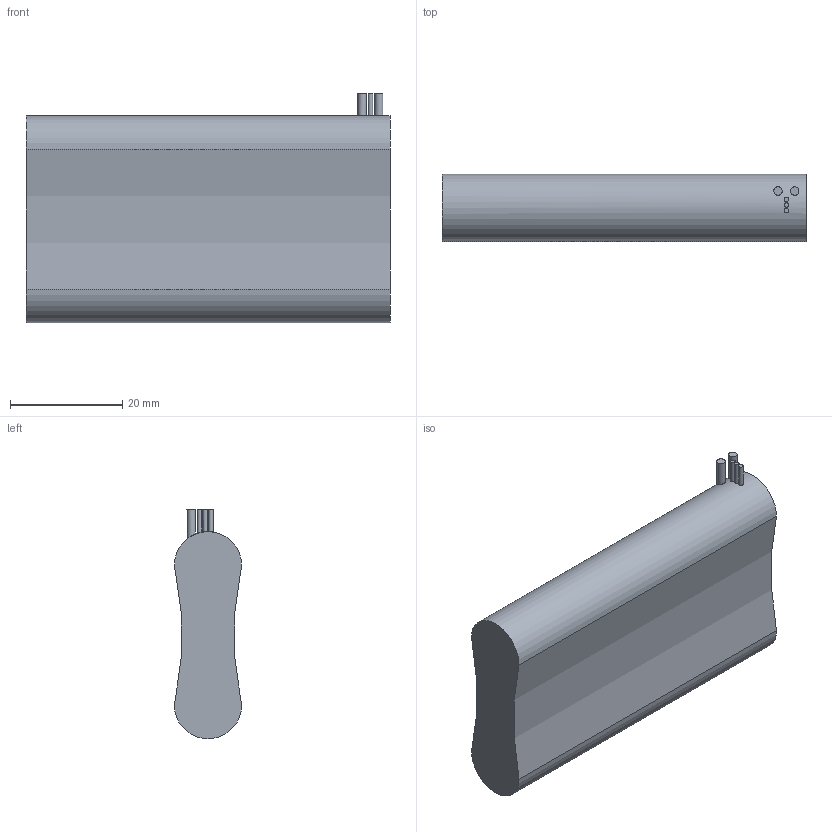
import cadquery as cq

body_length = 65.0
body_height = 37.0
edge_radius = 6.0
waist_depth = 1.35

wire_height = 4.0
wire_top = body_height + wire_height
wire_root = body_height - edge_radius
power_wire_diameter = 1.5
power_wire_spacing = 3.0
power_wire_y = 3.0
balance_wire_diameter = 0.8
balance_wire_pitch = 1.0
balance_wire_count = 3
first_balance_wire_y = 1.5
wire_group_inset = 3.5
wire_group_x = body_length / 2 - wire_group_inset


def make_body():
    """Extrude the waisted section along X, centred on the origin."""
    lower_z = edge_radius
    upper_z = body_height - edge_radius
    middle_z = body_height / 2
    waist_y = edge_radius - waist_depth
    return (
        cq.Workplane("YZ", origin=(-body_length / 2, 0, 0))
        .moveTo(-edge_radius, lower_z)
        .threePointArc((0, 0), (edge_radius, lower_z))
        .threePointArc((waist_y, middle_z), (edge_radius, upper_z))
        .threePointArc((0, body_height), (-edge_radius, upper_z))
        .threePointArc((-waist_y, middle_z), (-edge_radius, lower_z))
        .close()
        .extrude(body_length)
    )


def make_wires(diameter, positions):
    """Upright round wires at the given (x, y) positions."""
    return (
        cq.Workplane("XY", origin=(0, 0, wire_root))
        .pushPoints(positions)
        .circle(diameter / 2)
        .extrude(wire_top - wire_root)
    )


power_wire_positions = [
    (wire_group_x + side * power_wire_spacing / 2, power_wire_y) for side in (-1, 1)
]
balance_wire_positions = [
    (wire_group_x, first_balance_wire_y - index * balance_wire_pitch)
    for index in range(balance_wire_count)
]

power_wires = make_wires(power_wire_diameter, power_wire_positions)
balance_wires = make_wires(balance_wire_diameter, balance_wire_positions)

result = make_body().union(power_wires).union(balance_wires)